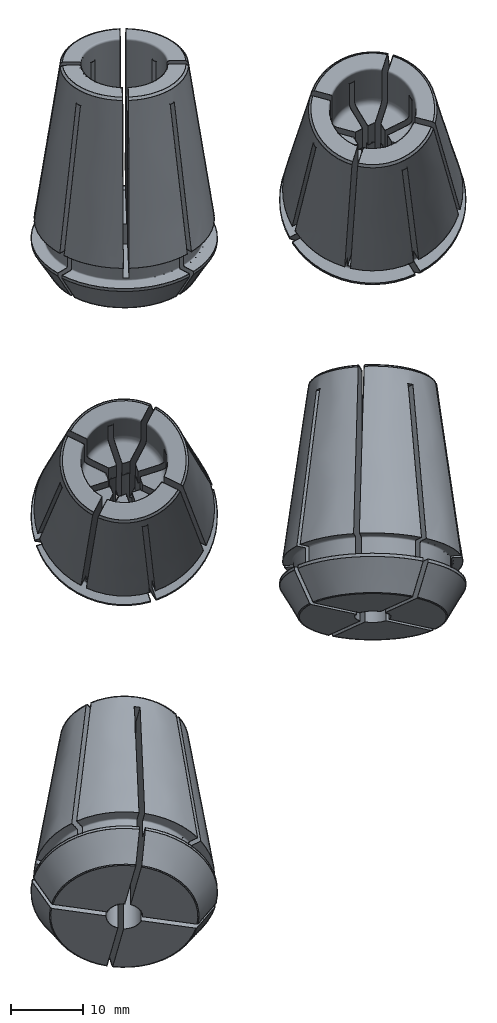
import cadquery as cq
import math


total_length = 34.0
flange_radius = 12.92

flange_top = 5.0
rim_height = 0.48
nose_half_angle = 30.0
nose_edge_chamfer = 0.1

neck_radius = 11.0
neck_top = 8.1
neck_fillet = 0.2

body_base_radius = 12.5
body_half_angle = 8.0
body_top_chamfer = 0.35

shank_hole_radius = 2.5
square_hole_width = 4.3
square_hole_bottom = 18.02
relief_radius = 6.0
relief_floor = 24.15
relief_floor_fillet = 0.8
relief_mouth_fillet = 0.3

slot_width = 0.8
nose_slot_top = 31.5
top_slot_floor = 5.5
slot_pair_angle = 90.0
slot_stagger_angle = 45.0

rim_bottom = flange_top - rim_height
nose_taper = math.tan(math.radians(nose_half_angle))
nose_radius = flange_radius - rim_bottom * nose_taper
body_taper = math.tan(math.radians(body_half_angle))
body_top_radius = body_base_radius - (total_length - neck_top) * body_taper
chamfer_bottom = total_length - body_top_chamfer
chamfer_bottom_radius = body_top_radius + body_top_chamfer * body_taper
relief_flat_radius = relief_radius - relief_floor_fillet
slot_length = 2 * flange_radius + 2 * slot_width


def outer_body():
    """Solid of revolution bounded by the nose, neck and tapered body."""
    profile = (
        cq.Workplane("XZ")
        .moveTo(0, 0)
        .lineTo(nose_radius - nose_edge_chamfer, 0)
        .lineTo(nose_radius + nose_edge_chamfer * nose_taper, nose_edge_chamfer)
        .lineTo(flange_radius, rim_bottom)
        .lineTo(flange_radius, flange_top)
        .lineTo(neck_radius + neck_fillet, flange_top)
        .radiusArc((neck_radius, flange_top + neck_fillet), neck_fillet)
        .lineTo(neck_radius, neck_top - neck_fillet)
        .radiusArc((neck_radius + neck_fillet, neck_top), neck_fillet)
        .lineTo(body_base_radius, neck_top)
        .lineTo(chamfer_bottom_radius, chamfer_bottom)
        .lineTo(chamfer_bottom_radius - body_top_chamfer, total_length)
        .lineTo(0, total_length)
        .close()
    )
    return profile.revolve(360, (0, 0, 0), (0, 1, 0))


def shank_hole():
    """Round hole that grips the tool shank."""
    return cq.Workplane("XY").circle(shank_hole_radius).extrude(square_hole_bottom)


def square_hole():
    """Square hole that drives the squared end of the shank."""
    return (
        cq.Workplane("XY")
        .workplane(offset=square_hole_bottom)
        .rect(square_hole_width, square_hole_width)
        .extrude(relief_floor - square_hole_bottom)
    )


def relief():
    """Wide bore from the top with a rounded floor edge and a rounded mouth."""
    profile = (
        cq.Workplane("XZ")
        .moveTo(0, relief_floor)
        .lineTo(relief_flat_radius, relief_floor)
        .radiusArc((relief_radius, relief_floor + relief_floor_fillet), -relief_floor_fillet)
        .lineTo(relief_radius, total_length - relief_mouth_fillet)
        .radiusArc((relief_radius + relief_mouth_fillet, total_length), relief_mouth_fillet)
        .lineTo(0, total_length)
        .close()
    )
    return profile.revolve(360, (0, 0, 0), (0, 1, 0))


def crossed_slots(first_angle, bottom, top):
    """Two perpendicular slots through the axis between two heights."""
    slot = cq.Workplane("XY").workplane(offset=bottom).rect(slot_length, slot_width).extrude(top - bottom)
    first = slot.rotate((0, 0, 0), (0, 0, 1), first_angle)
    second = first.rotate((0, 0, 0), (0, 0, 1), slot_pair_angle)
    return first.union(second)


nose_slots = crossed_slots(0, 0, nose_slot_top)
top_slots = crossed_slots(slot_stagger_angle, top_slot_floor, total_length)

body = outer_body().cut(shank_hole()).cut(square_hole()).cut(relief())
result = body.cut(nose_slots).cut(top_slots)